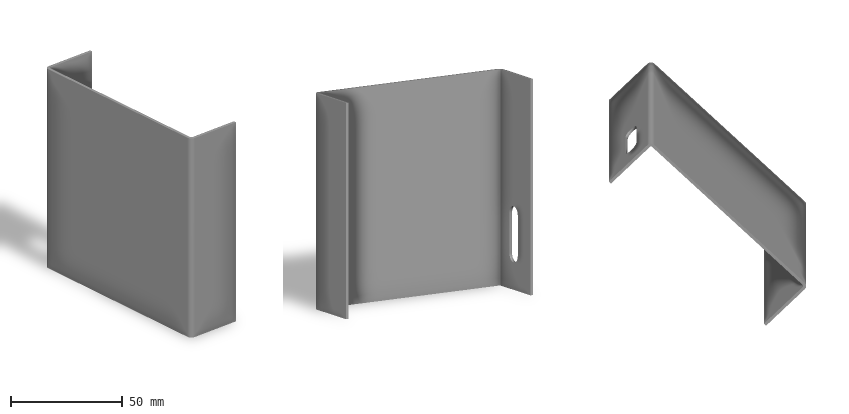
import cadquery as cq

width = 99.1
height = 99.1
depth = 26.9
thickness = 1.4
outer_bend_radius = 2.2
inner_bend_radius = outer_bend_radius - thickness

slot_width = 6.9
slot_length = 25.8
slot_center_y = 12.8
slot_center_z = 25.5


def make_channel():
    outer = (
        cq.Workplane("XY")
        .box(width, depth, height, centered=(True, False, False))
        .edges("|Z and <Y")
        .fillet(outer_bend_radius)
    )
    inner = (
        cq.Workplane("XY")
        .box(width - 2 * thickness, depth, height, centered=(True, False, False))
        .edges("|Z and <Y")
        .fillet(inner_bend_radius)
        .translate((0, thickness, 0))
    )
    return outer.cut(inner)


def make_slot_cutter():
    return (
        cq.Workplane("YZ", origin=(-width / 2 - thickness, 0, 0))
        .center(slot_center_y, slot_center_z)
        .slot2D(slot_length, slot_width, angle=90)
        .extrude(3 * thickness)
    )


result = make_channel().cut(make_slot_cutter())